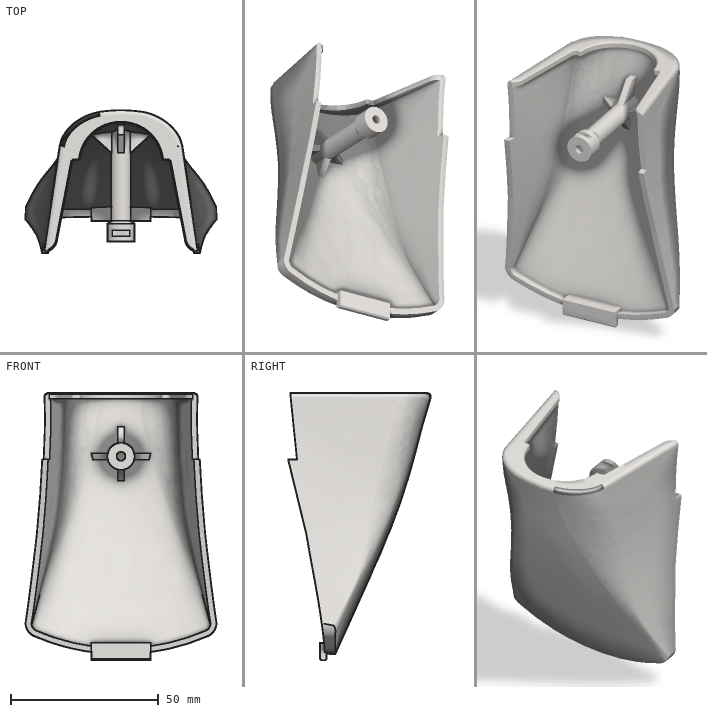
import cadquery as cq
import math

HEIGHT = 90.5
WIDTH = 64.7
WALL = 2.0
STEP_Z = 68.0
BACK_WALL = 2.0

STATIONS = [
    (0.0, 15.0, 32.0, 12.6, 34.2, 11.0, 34.0, 9.0),
    (13.0, 20.9, 30.3, 17.6, 32.0, 15.8, 32.3, 11.3),
    (27.0, 27.2, 25.2, 24.6, 28.2, 22.9, 30.4, 9.0),
    (43.0, 34.1, 19.2, 32.2, 24.4, 27.2, 28.5, 6.1),
    (STEP_Z, 42.5, 10.8, 41.4, 21.4, 32.2, 26.7, 0.0),
    (HEIGHT, 49.0, 7.7, 48.35, 20.5, 36.3, 26.0, 0.7),
]
OPEN_Y = -4.0
CORNER_FULLNESS = 1.0
TOP_ROUND = 1.4

STEP_DEPTH = 3.0
TOP_FRONT_Y = 0.7
FOOT_FRONT_Y = 12.6

BOTTOM_Z = 2.1
BOTTOM_RADIUS = 74.0
CORNER_RADIUS = 5.0

FLANGE_THICKNESS = 2.0
FLANGE_CHAMFER = 0.4
FLANGE_ARC_RADIUS = 14.4
FLANGE_ARC_TOP = 44.5
FLANGE_ARC_END_Y = 31.8
FLANGE_SHOULDER = (17.0, 31.8)
FLANGE_SHOULDER_ROUND = 1.4
FLANGE_TIP = (22.1, 4.0)
FLANGE_TIP_END = (24.6, 1.2)
FLANGE_TIP_BULGE = 0.3

PIN_Z = 69.05
PIN_RADIUS = 3.3
PIN_HEAD_RADIUS = 4.6
PIN_FRONT = 3.9
PIN_HEAD_REAR = 10.0
PIN_CONE_REAR = 10.9
PIN_HOLE_RADIUS = 1.5
PIN_HOLE_DEPTH = 8.0
NOTCH_FRONT = 5.65
NOTCH_WIDTH = 2.15
NOTCH_HALF_LENGTH = 2.9

RIB_THICKNESS = 2.2
RIB_REACH = 10.0
RIB_FRONT = 33.9
RIB_END = 40.0

TAB_WIDTH = 20.0
TAB_FRONT = 10.8
TAB_REAR = 13.1
TAB_TOP = 5.9
TAB_CHAMFER = 0.5
TAB_SHELF_REAR = 16.5
TAB_SHELF_THICKNESS = 2.0

FAR = 60.0


def section(station, side_inset, back_inset):
    """Closed U-shaped wire at one height, moved inwards by the insets."""
    z, back_y, panel_x, panel_y, rear_x, rear_y, front_x, front_y = station
    lean_x = front_x - rear_x
    lean_y = front_y - rear_y
    length = math.hypot(lean_x, lean_y)
    side_shift = side_inset * length / abs(lean_y)
    end_x = rear_x + lean_x * (OPEN_Y - rear_y) / lean_y - side_shift
    rear_x -= side_shift
    panel_x -= side_inset / 8
    back_y -= back_inset
    panel_y -= back_inset
    rear_y -= back_inset / 2

    sag = back_y - panel_y
    panel_angle = 2 * math.atan2(sag, panel_x)

    def corner(side):
        points = [cq.Vector(side * panel_x, panel_y, z), cq.Vector(side * rear_x, rear_y, z)]
        tangents = [
            cq.Vector(side * math.cos(panel_angle), -math.sin(panel_angle), 0) * CORNER_FULLNESS,
            cq.Vector(side * lean_x / length, lean_y / length, 0) * CORNER_FULLNESS,
        ]
        return cq.Edge.makeSpline(points, tangents=tangents, scale=False)

    left_panel = cq.Vector(-panel_x, panel_y, z)
    right_panel = cq.Vector(panel_x, panel_y, z)
    left_end = cq.Vector(-end_x, OPEN_Y, z)
    right_end = cq.Vector(end_x, OPEN_Y, z)
    edges = [
        cq.Edge.makeThreePointArc(left_panel, cq.Vector(0, back_y, z), right_panel),
        corner(1),
        cq.Edge.makeLine(cq.Vector(rear_x, rear_y, z), right_end),
        cq.Edge.makeLine(right_end, left_end),
        cq.Edge.makeLine(left_end, cq.Vector(-rear_x, rear_y, z)),
        corner(-1),
    ]
    return cq.Wire.assembleEdges(edges)


def lofted_body(side_inset, back_inset):
    wires = [section(station, side_inset, back_inset) for station in STATIONS]
    return cq.Workplane(cq.Solid.makeLoft(wires))


def front_outline(inset):
    """Prism along Y bounded by the side limits and the curved lower edge."""
    half = WIDTH / 2 - inset
    low = BOTTOM_Z + inset
    radius = BOTTOM_RADIUS - inset
    edge_z = low + radius - math.sqrt(radius**2 - half**2)
    return (
        cq.Workplane("XZ", origin=(0, FAR, 0))
        .moveTo(-half, HEIGHT)
        .lineTo(-half, edge_z)
        .threePointArc((0, low), (half, edge_z))
        .lineTo(half, HEIGHT)
        .close()
        .extrude(2 * FAR)
        .edges("|Y and (not >Z)")
        .fillet(CORNER_RADIUS - inset)
    )


def side_profile():
    """Prism along X that trims the front edge of the side walls."""
    edge_points = [(station[7], station[0]) for station in STATIONS[1:4]]
    return (
        cq.Workplane("YZ", origin=(-FAR, 0, 0))
        .moveTo(FAR, 0)
        .lineTo(FOOT_FRONT_Y, 0)
        .spline(edge_points, includeCurrent=True)
        .lineTo(0, STEP_Z)
        .lineTo(STEP_DEPTH, STEP_Z)
        .lineTo(TOP_FRONT_Y, HEIGHT)
        .lineTo(FAR, HEIGHT)
        .close()
        .extrude(2 * FAR)
    )


def flange_opening():
    """Opening through the top flange, widened by a chamfer at its upper edge."""
    center_y = FLANGE_ARC_TOP - FLANGE_ARC_RADIUS
    arc_x = math.sqrt(FLANGE_ARC_RADIUS**2 - (FLANGE_ARC_END_Y - center_y) ** 2)
    shoulder_x, shoulder_y = FLANGE_SHOULDER
    tip_x, tip_y = FLANGE_TIP
    tip_end_x, tip_end_y = FLANGE_TIP_END
    mid_x = (tip_x + tip_end_x) / 2 - FLANGE_TIP_BULGE
    mid_y = (tip_y + tip_end_y) / 2 - FLANGE_TIP_BULGE
    round_x = shoulder_x - FLANGE_SHOULDER_ROUND
    round_y = shoulder_y - FLANGE_SHOULDER_ROUND
    diagonal = FLANGE_SHOULDER_ROUND * math.sqrt(0.5)
    outline = (
        cq.Workplane("XY", origin=(0, 0, HEIGHT))
        .moveTo(-arc_x, FLANGE_ARC_END_Y)
        .threePointArc((0, FLANGE_ARC_TOP), (arc_x, FLANGE_ARC_END_Y))
        .lineTo(round_x, shoulder_y)
        .threePointArc((round_x + diagonal, round_y + diagonal), (shoulder_x, round_y))
        .lineTo(tip_x, tip_y)
        .threePointArc((mid_x, mid_y), (tip_end_x, tip_end_y))
        .lineTo(tip_end_x, OPEN_Y)
        .lineTo(-tip_end_x, OPEN_Y)
        .lineTo(-tip_end_x, tip_end_y)
        .threePointArc((-mid_x, mid_y), (-tip_x, tip_y))
        .lineTo(-shoulder_x, round_y)
        .threePointArc((-round_x - diagonal, round_y + diagonal), (-round_x, shoulder_y))
        .close()
        .wire()
    )
    rim = outline.val()
    chamfer = cq.Solid.extrudeLinear(
        rim, [], cq.Vector(0, 0, -FLANGE_CHAMFER), taper=45
    )
    opening = outline.offset2D(-FLANGE_CHAMFER).extrude(-FLANGE_THICKNESS)
    return opening.union(cq.Workplane(chamfer))


def outer_body():
    body = lofted_body(0, 0)
    body = body.faces(">Z").edges("not(<Y)").fillet(TOP_ROUND)
    return body.intersect(front_outline(0)).intersect(side_profile())


def cavity():
    hollow = lofted_body(WALL, BACK_WALL).intersect(front_outline(WALL))
    below_flange = cq.Workplane("XY").box(
        2 * FAR, 2 * FAR, HEIGHT - FLANGE_THICKNESS, centered=(True, True, False)
    )
    return hollow.intersect(below_flange)


def pin():
    """Headed pin along Y, long enough to run into the back wall."""
    return (
        cq.Workplane("YZ", origin=(0, 0, PIN_Z))
        .moveTo(PIN_FRONT, 0)
        .lineTo(PIN_FRONT, PIN_HEAD_RADIUS)
        .lineTo(PIN_HEAD_REAR, PIN_HEAD_RADIUS)
        .lineTo(PIN_CONE_REAR, PIN_RADIUS)
        .lineTo(FAR, PIN_RADIUS)
        .lineTo(FAR, 0)
        .close()
        .revolve(360, (0, 0, 0), (1, 0, 0))
    )


def pin_cuts():
    """Blind hole in the pin head and the notch across its top."""
    hole = (
        cq.Workplane("XZ", origin=(0, PIN_FRONT + PIN_HOLE_DEPTH, PIN_Z))
        .circle(PIN_HOLE_RADIUS)
        .extrude(PIN_HOLE_DEPTH)
    )
    notch_floor = math.sqrt(PIN_HEAD_RADIUS**2 - NOTCH_HALF_LENGTH**2)
    notch = cq.Workplane("XY", origin=(0, NOTCH_FRONT, PIN_Z + notch_floor)).box(
        2 * PIN_HEAD_RADIUS, NOTCH_WIDTH, PIN_HEAD_RADIUS, centered=(True, False, False)
    )
    return hole.union(notch)


def ribs():
    """Four sloping ribs around the pin, running into the back wall."""
    rib = (
        cq.Workplane("XY", origin=(0, 0, -RIB_THICKNESS / 2))
        .moveTo(0, RIB_FRONT)
        .lineTo(PIN_RADIUS, RIB_FRONT)
        .lineTo(RIB_REACH, RIB_END)
        .lineTo(RIB_REACH, FAR)
        .lineTo(0, FAR)
        .close()
        .extrude(RIB_THICKNESS)
    )
    group = cq.Workplane("XY")
    for angle in (0, 90, 180, 270):
        group = group.union(rib.rotate((0, 0, 0), (0, 1, 0), angle))
    return group.translate((0, 0, PIN_Z))


def tab():
    """Plate in front of the lower edge with a shelf reaching back to the wall."""
    plate = cq.Workplane("XY", origin=(0, TAB_FRONT, 0)).box(
        TAB_WIDTH, TAB_REAR - TAB_FRONT, TAB_TOP, centered=(True, False, False)
    )
    shelf = cq.Workplane("XY", origin=(0, TAB_FRONT, TAB_TOP - TAB_SHELF_THICKNESS)).box(
        TAB_WIDTH, TAB_SHELF_REAR - TAB_FRONT, TAB_SHELF_THICKNESS, centered=(True, False, False)
    )
    plate = plate.edges("|X and <Z").chamfer(TAB_CHAMFER)
    return plate.union(shelf)


envelope = outer_body()
shell = envelope.cut(cavity()).cut(flange_opening())
pin_and_ribs = pin().union(ribs()).intersect(envelope)
result = shell.union(pin_and_ribs).cut(pin_cuts()).union(tab())